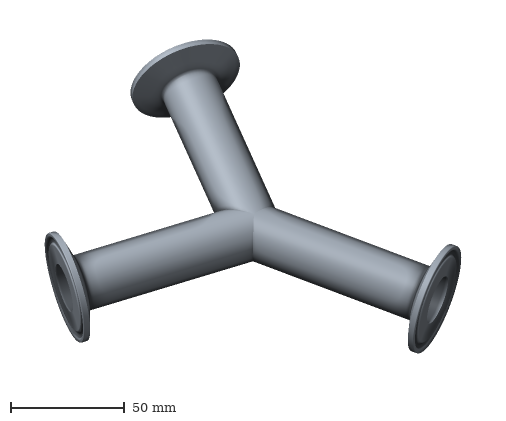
import cadquery as cq
import math

ARM_LENGTH = 88.9
ARM_ANGLES = (0, 135, 225)
TUBE_RADIUS = 25.4 / 2
BORE_RADIUS = 22.1 / 2

FLANGE_RADIUS = 50.39 / 2
RIM_THICKNESS = 2.85
RIM_ROUND = 0.4
CONE_ANGLE = 20
NECK_FILLET = 1.5

GROOVE_RADIUS = 43.6 / 2
GROOVE_DEPTH = 1.4
GROOVE_WIDTH = 3.0
GROOVE_LIP_ROUND = 0.8


def revolve_about_x(profile):
    """Close an (axial, radial) outline and turn it about the X axis."""
    return profile.close().revolve(360, (0, 0, 0), (1, 0, 0))


def arm_body():
    """Solid tube and ferrule along +X, starting at the origin."""
    rim_back = ARM_LENGTH - RIM_THICKNESS
    cone_height = FLANGE_RADIUS - TUBE_RADIUS
    cone_foot = rim_back - cone_height * math.tan(math.radians(CONE_ANGLE))

    turn = math.radians(90 - CONE_ANGLE)
    tangent_length = NECK_FILLET * math.tan(turn / 2)
    fillet_start = cone_foot - tangent_length
    fillet_middle = (
        fillet_start + NECK_FILLET * math.sin(turn / 2),
        TUBE_RADIUS + NECK_FILLET * (1 - math.cos(turn / 2)),
    )
    fillet_end = (
        cone_foot + tangent_length * math.cos(turn),
        TUBE_RADIUS + tangent_length * math.sin(turn),
    )

    profile = (
        cq.Workplane("XY")
        .lineTo(ARM_LENGTH, 0)
        .lineTo(ARM_LENGTH, FLANGE_RADIUS)
        .lineTo(rim_back, FLANGE_RADIUS)
        .lineTo(*fillet_end)
        .threePointArc(fillet_middle, (fillet_start, TUBE_RADIUS))
        .lineTo(0, TUBE_RADIUS)
    )
    body = revolve_about_x(profile)
    return body.faces(">X").edges().fillet(RIM_ROUND)


def cut_gasket_groove(arm):
    """Cut the groove into the ferrule face of the +X arm and round its lips."""
    inner_lip = GROOVE_RADIUS - GROOVE_WIDTH / 2
    outer_lip = GROOVE_RADIUS + GROOVE_WIDTH / 2
    profile = (
        cq.Workplane("XY")
        .moveTo(ARM_LENGTH, inner_lip)
        .threePointArc((ARM_LENGTH - GROOVE_DEPTH, GROOVE_RADIUS), (ARM_LENGTH, outer_lip))
    )
    grooved = arm.cut(revolve_about_x(profile))
    lips = cq.selectors.RadiusNthSelector(0) + cq.selectors.RadiusNthSelector(1)
    return grooved.faces(">X").edges(lips).fillet(GROOVE_LIP_ROUND)


def arm_bore():
    """Bore along +X, from the origin through the ferrule face."""
    return cq.Workplane("YZ").circle(BORE_RADIUS).extrude(ARM_LENGTH)


def at_every_arm(shape):
    """Union of copies of a +X shape turned to each arm direction."""
    copies = cq.Workplane("XY")
    for angle in ARM_ANGLES:
        copies = copies.union(shape.rotate((0, 0, 0), (0, 0, 1), angle))
    return copies


grooved_arm = cut_gasket_groove(arm_body())
result = at_every_arm(grooved_arm).cut(at_every_arm(arm_bore()))